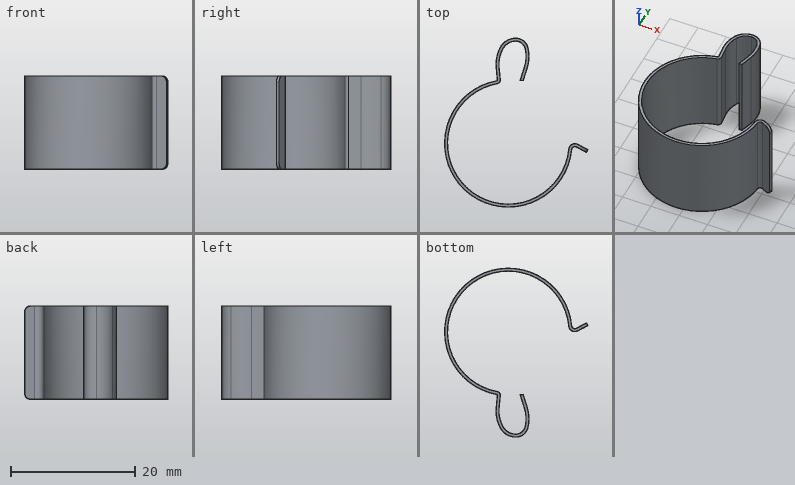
import math

import cadquery as cq

WIDTH = 15.0
THICKNESS = 0.5
HALF_THICKNESS = THICKNESS / 2
RING_RADIUS = 10.0

LIP_BEND_RADIUS = 0.75
LIP_BEND_ANGLE = -5.5
LIP_SLOPE = 28.0
LIP_LENGTH = 1.85
LIP_CORNER_RADIUS = 1.0

NECK_ANGLE = 100.4
NECK_RADIUS = 0.35
NECK_LENGTH = 1.98
NECK_LEAN = 5.5
OUTER_SIDE_RADIUS = 5.5
OUTER_SIDE_TURN = 33.5
OUTER_CROWN_RADIUS = 2.6
OUTER_CROWN_TURN = 90.0 + NECK_LEAN - OUTER_SIDE_TURN
INNER_CROWN_RADIUS = 1.78
INNER_CROWN_TURN = 77.0
INNER_SIDE_RADIUS = 5.87
INNER_SIDE_TURN = 30.5
TAIL_LENGTH = 3.0
TAIL_END_Y = 10.09
TRIM_SIZE = 3.0


def step(point, angle, distance):
    """Point reached by moving a distance along a direction in degrees."""
    direction = math.radians(angle)
    return (point[0] + distance * math.cos(direction), point[1] + distance * math.sin(direction))


def lip_tip():
    """Middle of the strip at the free end of the lip."""
    bend_center = step((0, 0), LIP_BEND_ANGLE, RING_RADIUS + LIP_BEND_RADIUS)
    bend_end = step(bend_center, 90 - LIP_SLOPE, LIP_BEND_RADIUS)
    return step(bend_end, -LIP_SLOPE, LIP_LENGTH)


def strip_moves():
    """Straight runs (length, None) and bends (radius, turn), left turns positive."""
    ring_entry_heading = LIP_BEND_ANGLE + 270
    ring_sweep = 360 + LIP_BEND_ANGLE - NECK_ANGLE
    neck_entry_heading = NECK_ANGLE - 90
    return [
        (LIP_LENGTH, None),
        (LIP_BEND_RADIUS, ring_entry_heading - (180 - LIP_SLOPE)),
        (RING_RADIUS, -ring_sweep),
        (NECK_RADIUS, 90 + NECK_LEAN - neck_entry_heading),
        (NECK_LENGTH, None),
        (OUTER_SIDE_RADIUS, -OUTER_SIDE_TURN),
        (OUTER_CROWN_RADIUS, -OUTER_CROWN_TURN),
        (INNER_CROWN_RADIUS, -INNER_CROWN_TURN),
        (INNER_SIDE_RADIUS, -INNER_SIDE_TURN),
        (TAIL_LENGTH, None),
    ]


def strip_side(offset):
    """Edges and end points of one strip face, offset to the left of the strip's middle."""
    point = lip_tip()
    heading = 180 - LIP_SLOPE
    start = step(point, heading + 90, offset)
    last = start
    edges = []
    for size, turn in strip_moves():
        if turn is None:
            point = step(point, heading, size)
            end = step(point, heading + 90, offset)
            edges.append(cq.Edge.makeLine(cq.Vector(*last), cq.Vector(*end)))
        else:
            turn_sign = math.copysign(1, turn)
            side = 90 * turn_sign
            center = step(point, heading + side, size)
            face_radius = size - turn_sign * offset
            middle = step(center, heading + turn / 2 - side, face_radius)
            heading += turn
            point = step(center, heading - side, size)
            end = step(center, heading - side, face_radius)
            edges.append(cq.Edge.makeThreePointArc(cq.Vector(*last), cq.Vector(*middle), cq.Vector(*end)))
        last = end
    return edges, start, last


def bent_strip():
    """Strip profile between its two faces, raised to the full width."""
    left_edges, left_start, left_end = strip_side(HALF_THICKNESS)
    right_edges, right_start, right_end = strip_side(-HALF_THICKNESS)
    lip_end = cq.Edge.makeLine(cq.Vector(*left_start), cq.Vector(*right_start))
    tail_end = cq.Edge.makeLine(cq.Vector(*left_end), cq.Vector(*right_end))
    outline = cq.Wire.assembleEdges(left_edges + [tail_end] + right_edges[::-1] + [lip_end])
    return cq.Workplane(cq.Solid.extrudeLinear(outline, [], cq.Vector(0, 0, WIDTH)))


def trim_tail(strip):
    """Cut the free end of the loop along the X direction."""
    trim = cq.Workplane().box(TRIM_SIZE, TRIM_SIZE, WIDTH, centered=(False, False, False))
    return strip.cut(trim.translate((0, TAIL_END_Y - TRIM_SIZE, 0)))


def round_lip_corners(strip):
    """Round the top and bottom corners of the lip's end face."""
    tip = lip_tip()
    reach = THICKNESS
    near_tip = cq.selectors.BoxSelector(
        (tip[0] - reach, tip[1] - reach, -reach),
        (tip[0] + reach, tip[1] + reach, WIDTH + reach),
    )
    return strip.faces(near_tip).edges("#Z").fillet(LIP_CORNER_RADIUS)


result = round_lip_corners(trim_tail(bent_strip()))